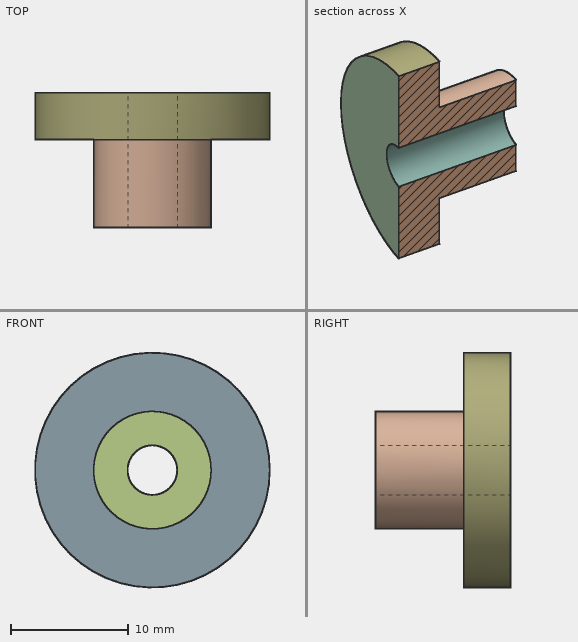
import cadquery as cq

flange_diameter = 20.0
flange_thickness = 4.0
hub_diameter = flange_diameter / 2
hub_length = 7.5
bore_diameter = 4.2
total_length = flange_thickness + hub_length


def cylinder_along_y(diameter, length):
    """Cylinder on the Y axis, running from the origin towards +Y."""
    return cq.Workplane("XZ").circle(diameter / 2).extrude(-length)


hub = cylinder_along_y(hub_diameter, hub_length)
flange = cylinder_along_y(flange_diameter, flange_thickness).translate((0, hub_length, 0))

bore = cylinder_along_y(bore_diameter, total_length)

result = hub.union(flange).cut(bore)